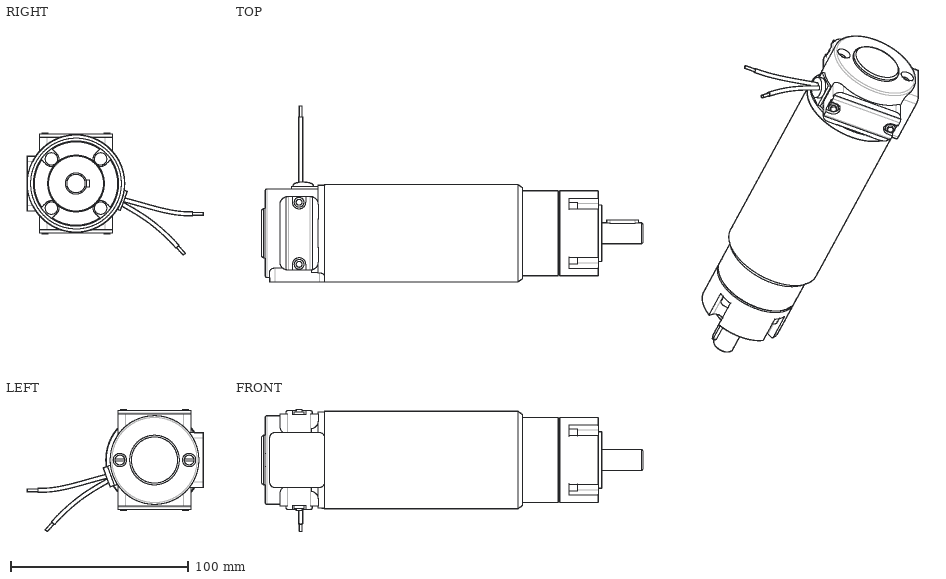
import math

import cadquery as cq


cap_rear_x = 2.1
block_rear_x = 10.4
pad_rear_x = 16.9
lug_rear_x = 28.2
flange_rear_x = 31.8
tube_rear_x = 35.6
tube_front_x = 147.2
seam_x = 167.6
mount_face_x = 190.0
pilot_front_x = 192.0
shaft_tip_x = 215.0

rear_boss_diameter = 28.0
rear_boss_chamfer = 1.0
cap_diameter = 50.0
cap_edge_radius = 1.0
flange_diameter = 54.4
tube_diameter = 55.0
tube_chamfer_length = 1.9
tube_chamfer_height = 2.6
gearbox_diameter = 48.0
gearbox_chamfer = 0.5
seam_half_width = 0.6
seam_depth = 0.6
pilot_diameter = 32.0
pilot_chamfer = 0.5
shaft_diameter = 12.0
shaft_chamfer = 0.8

key_width = 4.0
key_length = 18.0
key_rear_x = 194.5
key_top_y = 7.5
key_bottom_y = 4.0

slot_count = 4
slot_pitch_radius = 19.6
slot_width = 8.5
slot_cutter_overshoot = 1.0
slot_rear_x = 173.4
slot_screw_diameter = 7.0
slot_screw_length = 4.8

block_front_x = 32.0
block_width = 41.2
block_half_height = 26.0
block_corner_radius = 4.3
plate_center_x = (block_rear_x + block_front_x) / 2
plate_length = 15.0
plate_thickness = 2.0
plate_edge_radius = 1.4
plate_half_height = block_half_height + plate_thickness

plate_screw_offset_y = 17.5
plate_notch_width = 7.5
plate_notch_depth = 2.4
plate_head_diameter = 5.5
plate_head_height = 1.6
plate_stud_diameter = 3.3
plate_stud_projection = 0.55
stud_top_z = plate_half_height + plate_stud_projection

box_size = 31.0
box_corner_radius = 3.0
box_rear_x = tube_rear_x - box_size
box_outer_y = -tube_diameter / 2
box_inner_y = -12.0

lug_diameter = 54.2
lug_inner_y = -16.0

cap_screw_offset_y = 19.5
cap_hole_diameter = 7.5
cap_hole_depth = 5.0
cap_screw_diameter = 5.5
cap_screw_height = 2.0
screwdriver_slot_width = 1.0
screwdriver_slot_depth = 0.8

grommet_x = 23.5
grommet_diameter = 11.5
grommet_angle = -20.0
grommet_inner_radius = 20.0
grommet_outer_radius = 28.7
pad_outer_radius = 26.1
wire_x = 22.1
wire_diameter = 2.4
core_diameter = 1.7
overall_width = 99.23
overall_height = 68.96
wire_end_y = box_outer_y + overall_width
wire_bottom_z = stud_top_z - overall_height


def x_cylinder(diameter, start_x, end_x, y=0.0, z=0.0):
    """Cylinder parallel to X between two stations."""
    plane = cq.Workplane("YZ", origin=(start_x, y, z))
    return plane.circle(diameter / 2).extrude(end_x - start_x)


def make_motor_body():
    """Rear boss, cap, flange and tube of the motor."""
    boss = x_cylinder(rear_boss_diameter, 0, cap_rear_x).faces("<X").chamfer(rear_boss_chamfer)
    cap = x_cylinder(cap_diameter, cap_rear_x, flange_rear_x).faces("<X").edges().fillet(cap_edge_radius)
    flange = x_cylinder(flange_diameter, flange_rear_x, tube_rear_x)
    tube = x_cylinder(tube_diameter, tube_rear_x, tube_front_x)
    tube = tube.faces(">X").chamfer(tube_chamfer_height, tube_chamfer_length)
    return cap.union(boss).union(flange).union(tube)


def make_slot_cutter():
    """U-shaped slot above the axis, open outwards and towards the mounting face."""
    length = mount_face_x - slot_rear_x
    depth = gearbox_diameter / 2 - slot_pitch_radius + slot_cutter_overshoot
    floor = x_cylinder(slot_width, slot_rear_x, mount_face_x, z=slot_pitch_radius)
    opening = cq.Workplane("XY", origin=(slot_rear_x, 0, slot_pitch_radius)).box(
        length, slot_width, depth, centered=(False, True, False)
    )
    return floor.union(opening)


def make_gearbox():
    """Gearbox housing with a V seam, a pilot and four slotted screw seats."""
    gearbox = x_cylinder(gearbox_diameter, tube_front_x, mount_face_x)
    gearbox = gearbox.faces(">X").chamfer(gearbox_chamfer)
    radius = gearbox_diameter / 2
    seam = (
        cq.Workplane("XY")
        .moveTo(seam_x - seam_half_width, radius)
        .lineTo(seam_x, radius - seam_depth)
        .lineTo(seam_x + seam_half_width, radius)
        .close()
        .revolve(360, (0, 0, 0), (1, 0, 0))
    )
    gearbox = gearbox.cut(seam)
    slot = make_slot_cutter()
    screw = x_cylinder(
        slot_screw_diameter, slot_rear_x, slot_rear_x + slot_screw_length, z=slot_pitch_radius
    )
    spacing = 360 / slot_count
    for index in range(slot_count):
        angle = (index + 0.5) * spacing
        gearbox = gearbox.cut(slot.rotate((0, 0, 0), (1, 0, 0), angle))
        gearbox = gearbox.union(screw.rotate((0, 0, 0), (1, 0, 0), angle))
    pilot = x_cylinder(pilot_diameter, mount_face_x, pilot_front_x).faces(">X").chamfer(pilot_chamfer)
    return gearbox.union(pilot)


def make_shaft():
    """Output shaft with a round-ended key."""
    shaft = x_cylinder(shaft_diameter, pilot_front_x, shaft_tip_x).faces(">X").chamfer(shaft_chamfer)
    key = (
        cq.Workplane("XZ", origin=(key_rear_x + key_length / 2, key_top_y, 0))
        .slot2D(key_length, key_width)
        .extrude(key_top_y - key_bottom_y)
    )
    return shaft.union(key)


def make_cover_plate():
    """Upper cover plate with rounded long edges."""
    plate = cq.Workplane("XY", origin=(plate_center_x, 0, block_half_height)).box(
        plate_length, block_width, plate_thickness, centered=(True, True, False)
    )
    return plate.edges("|Y and >Z").fillet(plate_edge_radius)


def make_brush_holder():
    """Rounded block through the motor with a cover plate on both ends, screwed on in open notches."""
    block = (
        cq.Workplane("XY", origin=(plate_center_x, 0, 0))
        .box(block_front_x - block_rear_x, block_width, 2 * block_half_height)
        .edges("|Z")
        .fillet(block_corner_radius)
    )
    plate = make_cover_plate()
    holder = block.union(plate).union(plate.mirror("XY"))
    floor_z = plate_half_height - plate_notch_depth
    for side in (-1, 1):
        screw_y = side * plate_screw_offset_y
        seat = cq.Workplane("XY", origin=(plate_center_x, screw_y, floor_z))
        notch = seat.circle(plate_notch_width / 2).extrude(plate_notch_depth)
        mouth = seat.center(0, side * plate_notch_width / 2).rect(plate_notch_width, plate_notch_width)
        notch = notch.union(mouth.extrude(plate_notch_depth))
        head = seat.circle(plate_head_diameter / 2).extrude(plate_head_height)
        stud = seat.circle(plate_stud_diameter / 2).extrude(stud_top_z - floor_z)
        screw = head.union(stud)
        holder = holder.cut(notch).cut(notch.mirror("XY"))
        holder = holder.union(screw).union(screw.mirror("XY"))
    return holder


def make_side_box():
    """Square box with rounded corners on the -Y side."""
    return (
        cq.Workplane("XZ", origin=(box_rear_x + box_size / 2, box_inner_y, 0))
        .rect(box_size, box_size)
        .extrude(box_inner_y - box_outer_y)
        .edges("|Y")
        .fillet(box_corner_radius)
    )


def make_flange_lug():
    """Segment of a disc behind the flange on the box side."""
    disc = x_cylinder(lug_diameter, lug_rear_x, flange_rear_x)
    cutter = cq.Workplane("XY", origin=(lug_rear_x, lug_inner_y, 0)).box(
        flange_rear_x - lug_rear_x, lug_diameter, lug_diameter, centered=(False, False, True)
    )
    return disc.cut(cutter)


def add_cap_screws(body):
    """Two round recesses in the rear cap, each with a slotted screw head."""
    floor_x = cap_rear_x + cap_hole_depth
    head_x = floor_x - cap_screw_height
    for side in (-1, 1):
        screw_y = side * cap_screw_offset_y
        hole = x_cylinder(cap_hole_diameter, cap_rear_x, floor_x, y=screw_y)
        head = x_cylinder(cap_screw_diameter, head_x, floor_x, y=screw_y)
        driver_slot = cq.Workplane("XY", origin=(head_x, screw_y, 0)).box(
            screwdriver_slot_depth,
            cap_screw_diameter,
            screwdriver_slot_width,
            centered=(False, True, True),
        )
        body = body.cut(hole).union(head.cut(driver_slot))
    return body


def make_grommet():
    """Round cable grommet and its flat pad, both standing radially on the +Y side."""
    grommet = (
        cq.Workplane("XZ", origin=(grommet_x, grommet_inner_radius, 0))
        .circle(grommet_diameter / 2)
        .extrude(grommet_inner_radius - grommet_outer_radius)
    )
    pad = cq.Workplane("XY", origin=(pad_rear_x, grommet_inner_radius, 0)).box(
        flange_rear_x - pad_rear_x,
        pad_outer_radius - grommet_inner_radius,
        grommet_diameter,
        centered=(False, False, True),
    )
    return grommet.union(pad).rotate((0, 0, 0), (1, 0, 0), grommet_angle)


def make_wire(points, start_angle, end_angle, core_length):
    """Insulated wire along a curve of (Y, Z) points with a straight bare core at its end."""
    start_tangent = (math.cos(math.radians(start_angle)), math.sin(math.radians(start_angle)))
    end_tangent = (math.cos(math.radians(end_angle)), math.sin(math.radians(end_angle)))
    path = cq.Workplane("YZ", origin=(wire_x, 0, 0)).spline(points, tangents=[start_tangent, end_tangent])
    start = cq.Plane(
        origin=(wire_x, points[0][0], points[0][1]), xDir=(1, 0, 0), normal=(0, *start_tangent)
    )
    end = cq.Plane(
        origin=(wire_x, points[-1][0], points[-1][1]), xDir=(1, 0, 0), normal=(0, *end_tangent)
    )
    insulation = cq.Workplane(start).circle(wire_diameter / 2).sweep(path)
    core = cq.Workplane(end).circle(core_diameter / 2).extrude(core_length)
    return insulation.union(core)


def make_upper_wire():
    """Wire that levels out and ends parallel to Y."""
    core_length = 6.2
    end_z = -17.1
    points = [(26.0, -9.0), (42.7, -13.5), (57.0, -16.6), (wire_end_y - core_length, end_z)]
    return make_wire(points, -13, 0, core_length)


def make_lower_wire():
    """Wire that bends down; its core ends at the lowest point of the part."""
    end_angle = -48.0
    end_y = 57.2
    end_z = -35.6
    slope = math.radians(-end_angle)
    tip_center_z = wire_bottom_z + core_diameter / 2 * math.cos(slope)
    core_length = (end_z - tip_center_z) / math.sin(slope)
    points = [(25.0, -11.0), (39.4, -19.7), (end_y, end_z)]
    return make_wire(points, -29, end_angle, core_length)


body = make_motor_body().union(make_gearbox()).union(make_shaft())
body = body.union(make_brush_holder()).union(make_side_box()).union(make_flange_lug())
body = add_cap_screws(body)
result = body.union(make_grommet()).union(make_upper_wire()).union(make_lower_wire())